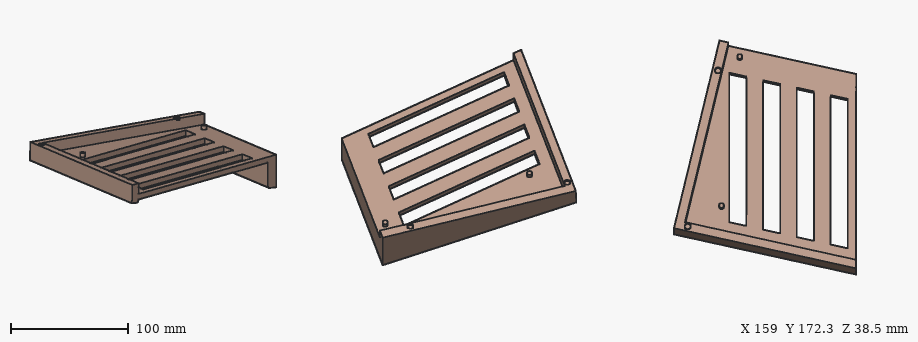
import cadquery as cq

length = 172.3
front_width = 159.0
rear_width = 119.5
rear_height = 38.5
front_height = 16.2
front_lean = 0.5
side_slope = (front_width - rear_width) / length

wall = 8.0
rear_wall = 10.0
floor_depth = 9.5
floor_thickness = 5.0
wall_round = 2.4

slot_count = 4
slot_width = 14.8
slot_pitch = 29.5
slot_rear_x = 14.1
slot_rear_y = -23.3
slot_front_y = -153.0

pin_diameter = 4.3
pin_height = 3.5
pin_places = [(19.6, -8.3), (34.5, -141.1)]
recess_diameter = 5.2
recess_depth = 1.7
recess_places = [(4.8, -26.2), (11.0, -167.5)]

overrun = 17.2

inner_front_y = wall - length
floor_bottom_z = -floor_depth - floor_thickness


def side_x(y):
    """X of the slanted right side at a given Y."""
    return rear_width - side_slope * y


def prism(points, top_z, height):
    """Upright prism hanging down from top_z."""
    return cq.Workplane("XY", origin=(0, 0, top_z)).polyline(points).close().extrude(-height)


def bottom_z(y):
    """Z of the sloping underside at a given Y."""
    return -rear_height - y * (rear_height - front_height) / length


def make_wedge():
    profile = [
        (0, 0),
        (0, -rear_height),
        (-length, -front_height),
        (front_lean - length, 0),
    ]
    wedge = cq.Workplane("YZ").polyline(profile).close().extrude(front_width)
    outline = [(0, 0), (rear_width, 0), (front_width, -length), (0, -length)]
    return wedge.intersect(prism(outline, 0, rear_height))


def make_tray_recess():
    """Space above the floor, open to the rear and to the right."""
    outline = [
        (wall, overrun),
        (front_width + overrun, overrun),
        (front_width + overrun, inner_front_y),
        (wall, inner_front_y),
    ]
    return prism(outline, 0, floor_depth)


def make_underside_cavity():
    """Space below the floor, open downward and to the right."""
    outline = [
        (wall, -rear_wall),
        (front_width + overrun, -rear_wall),
        (front_width + overrun, inner_front_y),
        (wall, inner_front_y),
    ]
    return prism(outline, floor_bottom_z, rear_height)


def round_lower_edges(body):
    """Round the lower inner edges of the left, rear and front walls."""
    middle_y = (inner_front_y - rear_wall) / 2
    left_edge = cq.selectors.NearestToPointSelector((wall, middle_y, bottom_z(middle_y)))
    middle_x = (wall + side_x(-rear_wall)) / 2
    rear_edge = cq.selectors.NearestToPointSelector((middle_x, -rear_wall, bottom_z(-rear_wall)))
    front_middle_x = (wall + side_x(inner_front_y)) / 2
    front_edge = cq.selectors.NearestToPointSelector(
        (front_middle_x, inner_front_y, bottom_z(inner_front_y))
    )
    return body.edges(left_edge + rear_edge + front_edge).fillet(wall_round)


def make_slot(index):
    rear_x = slot_rear_x + index * slot_pitch
    front_x = rear_x + side_slope * (slot_rear_y - slot_front_y)
    outline = [
        (rear_x, slot_rear_y),
        (rear_x + slot_width, slot_rear_y),
        (front_x + slot_width, slot_front_y),
        (front_x, slot_front_y),
    ]
    return prism(outline, 0, rear_height)


def make_discs(places, diameter, base_z, height):
    base = cq.Workplane("XY", origin=(0, 0, base_z))
    return base.pushPoints(places).circle(diameter / 2).extrude(height)


body = make_wedge().cut(make_tray_recess()).cut(make_underside_cavity())
body = round_lower_edges(body)
for slot_index in range(slot_count):
    body = body.cut(make_slot(slot_index))
body = body.cut(make_discs(recess_places, recess_diameter, -recess_depth, recess_depth))

pins = make_discs(pin_places, pin_diameter, floor_bottom_z, floor_thickness + pin_height)
result = body.union(pins)